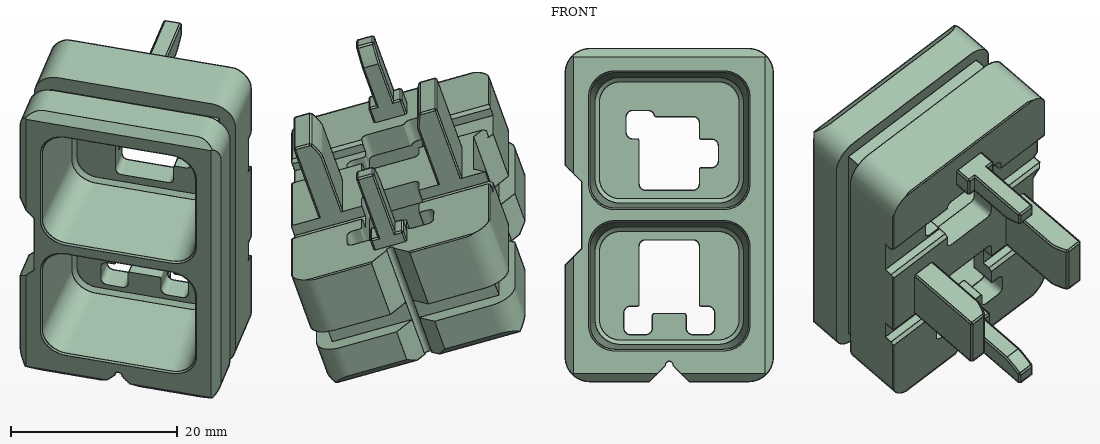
import cadquery as cq
body_width = 25.0
body_depth = 15.0
body_height = 40.0
corner_radius = 3.0
front_chamfer = 1.0
rear_chamfer = 0.15

groove_front = 5.0
groove_rear = 7.5
groove_depth = 2.0

side_notch_half_height = 6.0
side_notch_depth = 2.0
v_notch_depth = 2.4
v_root_radius = 0.45
v_root_center_z = -body_height / 2 + 2.0

cavity_width = 19.0
upper_cavity_height = 16.25
lower_cavity_height = 15.25
web_thickness = 1.7
cavity_depth = 12.0
cavity_radius = 3.0
cavity_draft = 3.0
rim_chamfer = 0.2
rim_taper = 45.0
floor_chamfer = 0.5

opening_width = 7.2
opening_height = 8.8
opening_radius = 0.7
opening_z = 7.4
lobe_size = 3.4
lobe_radius = 0.8
inner_corner_radius = 0.25
upper_left_lobe = (-3.47, 10.85)
upper_right_lobe = (4.18, opening_z)
lower_lobe_x = 3.74
lower_lobe_z = -12.64

slot_depth = 1.4
slot_chamfer = 0.4
upper_slot_top = 10.55
upper_slot_bottom = 5.45
lower_slot_bottom = -8.25

pin_length = 10.0
pin_thickness = 3.0
pin_edge_chamfer = 0.2
side_pin_outer_x = 9.0
side_pin_top = 2.45
side_pin_bottom = -5.45
side_pin_taper = (0.8, 2.0)
end_pin_width = 2.2
end_pin_outer_z = 17.2
end_pin_taper = (1.1, 2.4)
taper_bulge = 0.06
pin_base_width = 4.15
upper_base_height = 2.1
lower_base_height = 1.5


def block(x_range, y_range, z_range):
    """Box spanning the given (low, high) ranges."""
    sizes = [high - low for low, high in (x_range, y_range, z_range)]
    corner = (x_range[0], y_range[0], z_range[0])
    return cq.Workplane("XY").box(*sizes, centered=False).translate(corner)


def front_plane(center_z):
    """XZ sketch plane on the front face at height center_z; negative extrusions run toward +Y."""
    return cq.Workplane("XZ", origin=(0, 0, center_z))


def make_body():
    """Block with bevelled front and rear edges, then rounded long corners."""
    half_x = body_width / 2
    half_z = body_height / 2
    blank = block((-half_x, half_x), (0, body_depth), (-half_z, half_z))
    rounded = blank.edges("|Y").fillet(corner_radius)
    bevelled = blank.faces("<Y").chamfer(front_chamfer)
    bevelled = bevelled.faces(">Y").chamfer(rear_chamfer)
    return bevelled.intersect(rounded)


def make_groove():
    """Ring removed around the four sides, leaving a square-cornered core."""
    half_x = body_width / 2
    half_z = body_height / 2
    core_x = half_x - groove_depth
    core_z = half_z - groove_depth
    span = (groove_front, groove_rear)
    outer = block((-half_x, half_x), span, (-half_z, half_z))
    return outer.cut(block((-core_x, core_x), span, (-core_z, core_z)))


def make_side_notch():
    """Trapezoid with 45 degree flanks in the -X side."""
    side = -body_width / 2
    root = side + side_notch_depth
    root_half = side_notch_half_height - side_notch_depth
    return (
        front_plane(0)
        .polyline([
            (side, -side_notch_half_height),
            (root, -root_half),
            (root, root_half),
            (side, side_notch_half_height),
        ])
        .close()
        .extrude(-body_depth)
    )


def make_v_notch():
    """45 degree V in the bottom with a small round relief at its root."""
    bottom = -body_height / 2
    vee = (
        front_plane(0)
        .polyline([(-v_notch_depth, bottom), (0, bottom + v_notch_depth), (v_notch_depth, bottom)])
        .close()
        .extrude(-body_depth)
    )
    root = front_plane(0).center(0, v_root_center_z).circle(v_root_radius).extrude(-body_depth)
    return vee.union(root)


def make_cavity(height, center_z):
    """Drafted pocket behind the mouth bevel, with a bevelled floor edge."""
    return (
        front_plane(center_z)
        .workplane(offset=-rim_chamfer)
        .rect(cavity_width, height)
        .extrude(rim_chamfer - cavity_depth, taper=cavity_draft)
        .edges("not #Y")
        .fillet(cavity_radius)
        .faces(">Y")
        .chamfer(floor_chamfer)
    )


def make_rim(height, center_z):
    """Bevel around the mouth of a cavity."""
    return (
        front_plane(center_z)
        .sketch()
        .rect(cavity_width + 2 * rim_chamfer, height + 2 * rim_chamfer)
        .vertices()
        .fillet(cavity_radius + rim_chamfer)
        .finalize()
        .extrude(-rim_chamfer, taper=rim_taper)
    )


def rounded_prism(center, width, height, radius):
    """Full-depth prism along Y with rounded long edges, centred at (x, z)."""
    prism = front_plane(0).center(*center).rect(width, height).extrude(-body_depth)
    return prism.edges("|Y").fillet(radius)


def make_opening(center_z, lobe_centers):
    """Rounded window with square lobes; its inside corners are rounded by offsetting out and back."""
    prism = rounded_prism((0, center_z), opening_width, opening_height, opening_radius)
    for center in lobe_centers:
        prism = prism.union(rounded_prism(center, lobe_size, lobe_size, lobe_radius))
    outline = prism.faces("<Y").wires().val()
    grown = outline.offset2D(inner_corner_radius)[0]
    outline = grown.offset2D(-inner_corner_radius)[0]
    return cq.Workplane(cq.Solid.extrudeLinear(outline, [], cq.Vector(0, body_depth, 0)))


def make_upper_slot():
    """Slot across the rear face with both mouth edges bevelled."""
    rear = body_depth
    floor = rear - slot_depth
    return (
        cq.Workplane("YZ", origin=(-body_width / 2, 0, 0))
        .polyline([
            (rear, upper_slot_top + slot_chamfer),
            (rear - slot_chamfer, upper_slot_top),
            (floor, upper_slot_top),
            (floor, upper_slot_bottom),
            (rear - slot_chamfer, upper_slot_bottom),
            (rear, upper_slot_bottom - slot_chamfer),
        ])
        .close()
        .extrude(body_width)
    )


def make_lower_slot():
    """Slot under the side pins with only its lower mouth edge bevelled."""
    rear = body_depth
    floor = rear - slot_depth
    return (
        cq.Workplane("YZ", origin=(-body_width / 2, 0, 0))
        .polyline([
            (rear, side_pin_bottom),
            (floor, side_pin_bottom),
            (floor, lower_slot_bottom),
            (rear - slot_chamfer, lower_slot_bottom),
            (rear, lower_slot_bottom - slot_chamfer),
        ])
        .close()
        .extrude(body_width)
    )


def make_pin(width, taper):
    """Pin along +Y from Y = 0: flat outer side at local X = 0, inner side curving in at the tip.

    The pin is centred on Z with the given width; taper is its (inset, length) at the tip.
    """
    inset, length = taper
    taper_start = pin_length - length
    tip_x = pin_thickness - inset
    bulge_point = (pin_thickness - inset / 2 + taper_bulge, pin_length - length / 2 + taper_bulge)
    return (
        cq.Workplane("XY", origin=(0, 0, -width / 2))
        .lineTo(pin_thickness, 0)
        .lineTo(pin_thickness, taper_start)
        .threePointArc(bulge_point, (tip_x, pin_length))
        .lineTo(0, pin_length)
        .close()
        .extrude(width)
        .faces("<Z or >Z or >Y")
        .edges("not <Y")
        .chamfer(pin_edge_chamfer)
    )


def make_side_pin():
    """Blade on the -X side with its flat side outward."""
    width = side_pin_top - side_pin_bottom
    center_z = (side_pin_top + side_pin_bottom) / 2
    return make_pin(width, side_pin_taper).translate((-side_pin_outer_x, body_depth, center_z))


def make_upper_pin(base_height):
    """Pin near the top with its flat side up, standing on a wider base."""
    pin = make_pin(end_pin_width, end_pin_taper)
    pin = pin.rotate((0, 0, 0), (0, 1, 0), 90).translate((0, body_depth, end_pin_outer_z))
    half_base = pin_base_width / 2
    base = block(
        (-half_base, half_base),
        (body_depth, body_depth + base_height),
        (end_pin_outer_z - pin_thickness, end_pin_outer_z),
    )
    base = base.edges("not <Y").chamfer(pin_edge_chamfer)
    return pin.union(base)


upper_cavity_z = (web_thickness + upper_cavity_height) / 2
lower_cavity_z = -(web_thickness + lower_cavity_height) / 2
upper_opening = make_opening(opening_z, [upper_left_lobe, upper_right_lobe])
lower_opening = make_opening(-opening_z, [(-lower_lobe_x, lower_lobe_z), (lower_lobe_x, lower_lobe_z)])

cutters = [
    make_groove(),
    make_side_notch(),
    make_v_notch(),
    make_cavity(upper_cavity_height, upper_cavity_z),
    make_rim(upper_cavity_height, upper_cavity_z),
    make_cavity(lower_cavity_height, lower_cavity_z),
    make_rim(lower_cavity_height, lower_cavity_z),
    upper_opening,
    lower_opening,
    make_upper_slot(),
    make_lower_slot(),
]
side_pin = make_side_pin()
pins = [
    side_pin,
    side_pin.mirror("YZ"),
    make_upper_pin(upper_base_height),
    make_upper_pin(lower_base_height).mirror("XY"),
]

result = make_body()
for cutter in cutters:
    result = result.cut(cutter)
for pin in pins:
    result = result.union(pin)